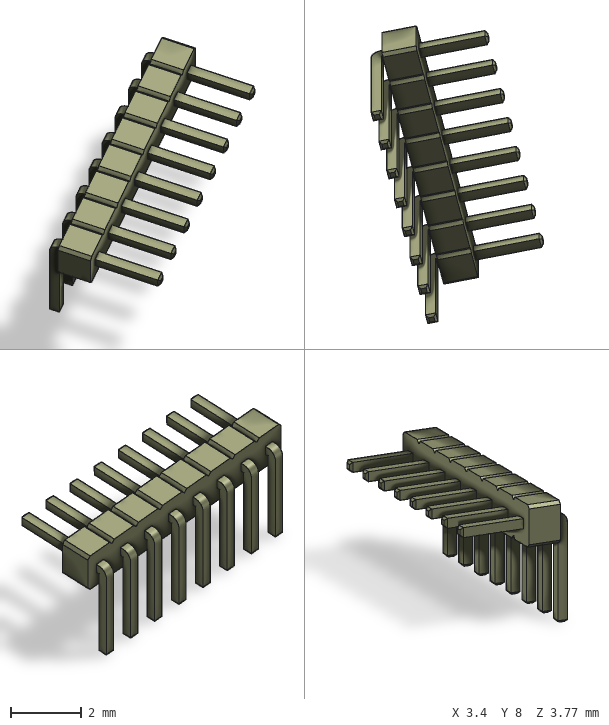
import cadquery as cq
import math

pin_count = 8
pitch = 1.0
housing_depth = 1.0
housing_height = 1.27
notch_width = 0.2
housing_chamfer = notch_width / 2

pin_diagonal = 0.42
pin_width = pin_diagonal / math.sqrt(2)
contact_reach = 2.0
leg_offset = 0.4
leg_drop = 2.5
bend_radius = pin_width
tip_chamfer = 0.07

housing_back_x = leg_offset
contact_tip_x = leg_offset + housing_depth + contact_reach
contact_center_z = leg_drop + housing_height / 2
contact_top_z = contact_center_z + pin_width / 2
contact_bottom_z = contact_center_z - pin_width / 2


def row_y(index):
    """Y of the pin and housing block with this index."""
    return (index - (pin_count - 1) / 2) * pitch


def housing_block(y):
    """One housing block; its four edges along X are chamfered."""
    center_x = housing_back_x + housing_depth / 2
    return (
        cq.Workplane("XY")
        .box(housing_depth, pitch, housing_height)
        .edges("|X")
        .chamfer(housing_chamfer)
        .translate((center_x, y, contact_center_z))
    )


def tapered_tip(end_face):
    """Short square taper that grows out of the given pin end."""
    tip_width = pin_width - 2 * tip_chamfer
    return (
        end_face.rect(pin_width, pin_width)
        .workplane(offset=tip_chamfer)
        .rect(tip_width, tip_width)
        .loft(ruled=True)
    )


def pin(y):
    """Square wire bent from a horizontal contact down into a leg."""
    contact_end_x = contact_tip_x - tip_chamfer
    wire = (
        cq.Workplane("XZ")
        .moveTo(0, tip_chamfer)
        .lineTo(0, contact_top_z - bend_radius)
        .radiusArc((bend_radius, contact_top_z), bend_radius)
        .lineTo(contact_end_x, contact_top_z)
        .lineTo(contact_end_x, contact_bottom_z)
        .lineTo(pin_width, contact_bottom_z)
        .lineTo(pin_width, tip_chamfer)
        .close()
        .extrude(pin_width / 2, both=True)
    )
    contact_end = cq.Workplane("YZ", origin=(contact_end_x, 0, contact_center_z))
    leg_end = cq.Workplane("XY", origin=(pin_width / 2, 0, tip_chamfer)).transformed(rotate=(180, 0, 0))
    bent_pin = wire.union(tapered_tip(contact_end)).union(tapered_tip(leg_end))
    return bent_pin.translate((0, y, 0))


result = cq.Workplane("XY")
for index in range(pin_count):
    y = row_y(index)
    result = result.add(housing_block(y)).add(pin(y))
result = result.combine(clean=True)